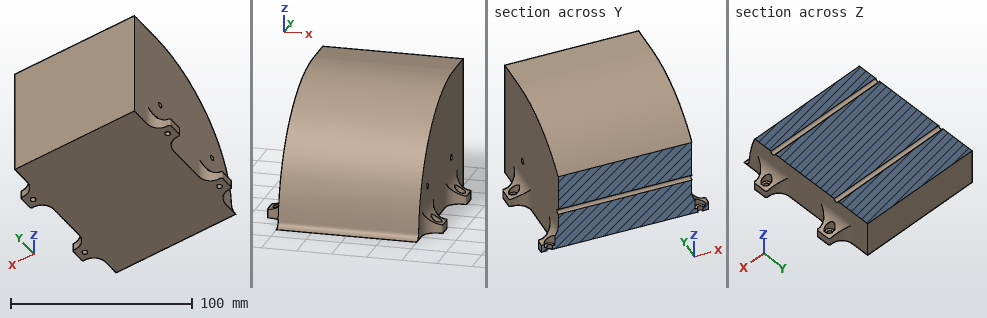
import cadquery as cq
import math

body_width = 80.0
body_height = 74.0
flat_top_length = 20.0
toe_radius = 4.0

overall_width = 100.0
half_body = body_width / 2
half_overall = overall_width / 2
lug_length = half_overall - half_body
lug_width = 10.0
lug_height = 5.0
lug_corner_radius = 1.0
lug_side_radius = 8.0
lug_top_radius = lug_length
lug_distances_from_back = (25.0, 75.0)

screw_diameter = 3.0
counterbore_diameter = 6.0
counterbore_floor = 3.0
cross_hole_diameter = 3.0
cross_hole_height = 25.0
screw_x = half_body + lug_length / 2

diagonal = math.sqrt(0.5)


def make_body():
    """Extrude the quarter-round profile with a concave toe tangent to the arc and the floor."""
    arc_center_y = -flat_top_length
    center_distance = body_height + toe_radius
    toe_angle = math.asin(toe_radius / center_distance)
    toe_center_y = arc_center_y - center_distance * math.cos(toe_angle)

    mid_angle = (math.pi / 2 + toe_angle) / 2

    def arc_point(angle):
        return (
            arc_center_y - body_height * math.cos(angle),
            body_height * math.sin(angle),
        )

    toe_middle = (
        toe_center_y + toe_radius * math.cos(mid_angle),
        toe_radius - toe_radius * math.sin(mid_angle),
    )
    return (
        cq.Workplane("YZ")
        .moveTo(0, 0)
        .lineTo(0, body_height)
        .lineTo(arc_center_y, body_height)
        .threePointArc(arc_point(mid_angle), arc_point(toe_angle))
        .threePointArc(toe_middle, (toe_center_y, 0))
        .close()
        .extrude(half_body, both=True)
    )


def make_lug(center_y):
    """Make a lug on the +X side as the overlap of its flared plan and its flared profile."""
    half_width = lug_width / 2
    flare_half_width = half_width + lug_side_radius
    flare_start_x = half_body + lug_side_radius
    side_sag = lug_side_radius * (1 - diagonal)
    top_sag = lug_top_radius * (1 - diagonal)
    lug_top = lug_height + lug_top_radius

    plan = (
        cq.Workplane("XY")
        .moveTo(half_body, -flare_half_width)
        .threePointArc((half_body + side_sag, -half_width - side_sag), (flare_start_x, -half_width))
        .lineTo(half_overall, -half_width)
        .lineTo(half_overall, half_width)
        .lineTo(flare_start_x, half_width)
        .threePointArc((half_body + side_sag, half_width + side_sag), (half_body, flare_half_width))
        .close()
        .extrude(lug_top)
        .edges("|Z and >X")
        .fillet(lug_corner_radius)
    )
    profile = (
        cq.Workplane("XZ")
        .moveTo(half_body, 0)
        .lineTo(half_overall, 0)
        .lineTo(half_overall, lug_height)
        .threePointArc(
            (half_body + top_sag, lug_height + top_sag),
            (half_body, lug_top),
        )
        .close()
        .extrude(flare_half_width, both=True)
    )
    return plan.intersect(profile).translate((0, center_y, 0))


def make_screw_hole(center_y):
    """Make the cutter for a counterbored vertical screw hole in a +X lug."""
    cutter_height = lug_height + lug_top_radius
    shank = cq.Workplane("XY").circle(screw_diameter / 2).extrude(cutter_height)
    head = (
        cq.Workplane("XY")
        .workplane(offset=counterbore_floor)
        .circle(counterbore_diameter / 2)
        .extrude(cutter_height)
    )
    return shank.union(head).translate((screw_x, center_y, 0))


def make_cross_hole(center_y):
    """Make the cutter for a hole passing through the body along X."""
    return (
        cq.Workplane("YZ")
        .center(center_y, cross_hole_height)
        .circle(cross_hole_diameter / 2)
        .extrude(half_overall, both=True)
    )


result = make_body()
for distance in lug_distances_from_back:
    lug = make_lug(-distance).cut(make_screw_hole(-distance))
    result = result.union(lug).union(lug.mirror("YZ"))
    result = result.cut(make_cross_hole(-distance))